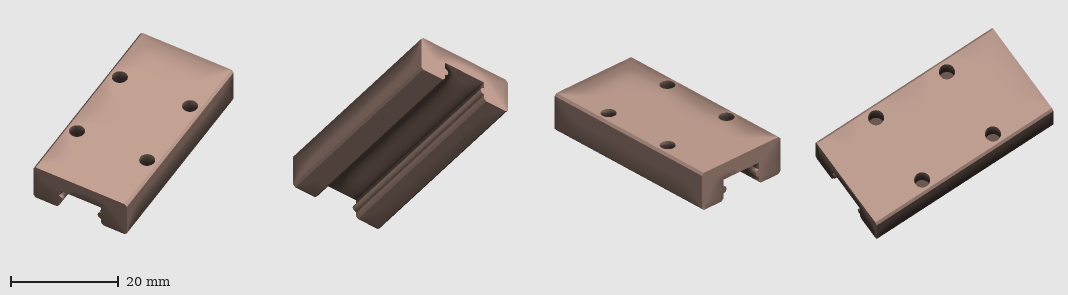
import cadquery as cq

length = 39.9
width = 20.0
height = 8.0
edge_chamfer = 0.48

channel_width = 9.0
channel_depth = 4.5
bead_radius = 0.75
bead_height = 2.27

hole_diameter = 3.0
hole_depth = 4.0
hole_spacing_x = 15.0
hole_spacing_y = 16.0


def make_body():
    """Block with its four long outer edges chamfered."""
    block = cq.Workplane("XY").box(width, length, height, centered=(True, True, False))
    return block.edges("|Y").chamfer(edge_chamfer)


def make_channel():
    """Channel void, flared at its mouth by the chamfers of the lower edges."""
    half_width = channel_width / 2
    mouth_half_width = half_width + edge_chamfer
    return (
        cq.Workplane("XZ")
        .moveTo(-mouth_half_width, 0)
        .lineTo(mouth_half_width, 0)
        .lineTo(half_width, edge_chamfer)
        .lineTo(half_width, channel_depth)
        .lineTo(-half_width, channel_depth)
        .lineTo(-half_width, edge_chamfer)
        .close()
        .extrude(length / 2, both=True)
    )


def make_beads():
    """Full-length round beads centred on the channel walls, half sunk into them."""
    wall_x = channel_width / 2
    return (
        cq.Workplane("XZ")
        .pushPoints([(-wall_x, bead_height), (wall_x, bead_height)])
        .circle(bead_radius)
        .extrude(length / 2, both=True)
    )


def make_holes():
    """Four flat-bottomed holes reaching down from the top face."""
    return (
        cq.Workplane("XY", origin=(0, 0, height))
        .rarray(hole_spacing_x, hole_spacing_y, 2, 2)
        .circle(hole_diameter / 2)
        .extrude(-hole_depth)
    )


result = make_body().cut(make_channel()).union(make_beads()).cut(make_holes())